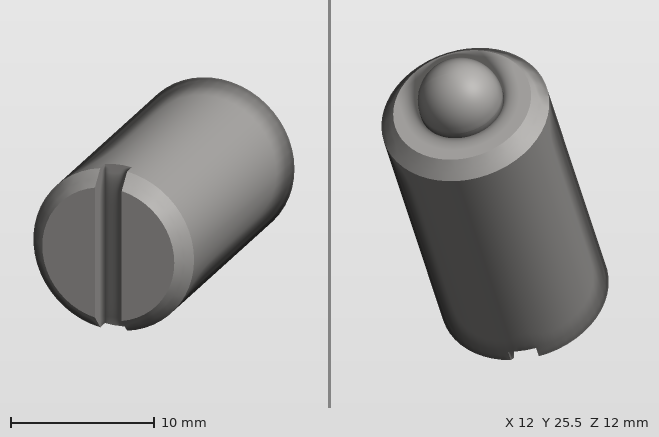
import cadquery as cq

body_diameter = 12.0
body_length = 22.0
chamfer = 1.07

pin_diameter = 6.0
pin_protrusion = 3.5

slot_width = 2.0
slot_depth = 2.0

body_radius = body_diameter / 2
pin_radius = pin_diameter / 2
nose_start = body_length + pin_protrusion - pin_radius
tip = nose_start + pin_radius


def make_body():
    """Cylinder from Y = 0 to the body length, chamfered at both ends."""
    cylinder = cq.Workplane("XZ").circle(body_radius).extrude(-body_length)
    return cylinder.faces("<Y or >Y").chamfer(chamfer)


def make_pin():
    """Short straight shank ending in a hemispherical nose, revolved about Y."""
    diagonal = pin_radius * 0.5**0.5
    return (
        cq.Workplane("XY")
        .moveTo(0, body_length - pin_radius)
        .lineTo(pin_radius, body_length - pin_radius)
        .lineTo(pin_radius, nose_start)
        .threePointArc((diagonal, nose_start + diagonal), (0, tip))
        .close()
        .revolve(360, (0, 0), (0, 1))
    )


def make_slot():
    """Screwdriver slot across the Y = 0 end, running along Z."""
    return cq.Workplane("XY").box(slot_width, 2 * slot_depth, 2 * body_diameter)


result = make_body().union(make_pin()).cut(make_slot())